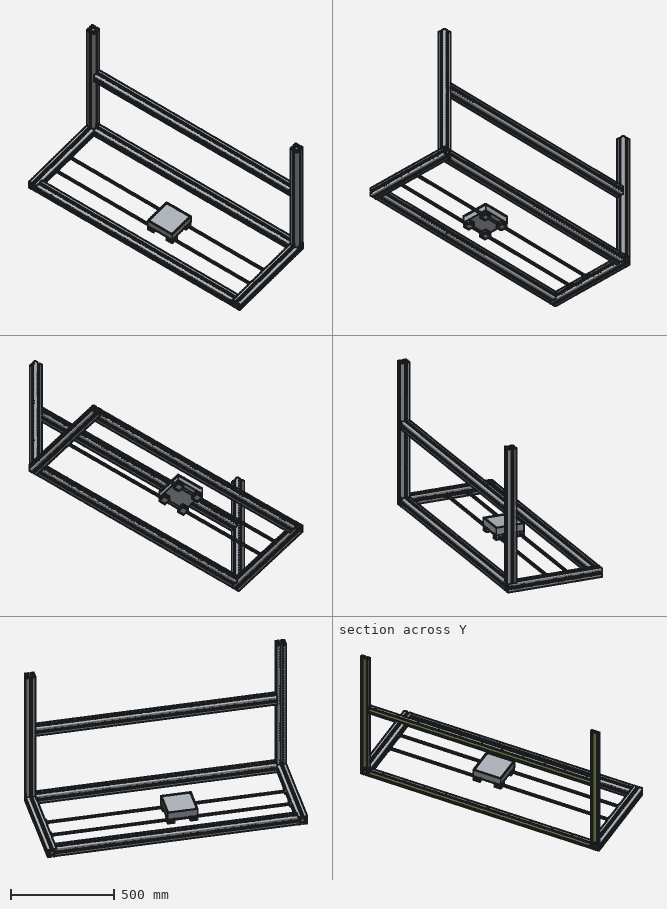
import cadquery as cq
import math

FRAME_LENGTH = 1290.0
FRAME_DEPTH = 500.0
FRAME_HEIGHT = 745.0
TOP_RAIL_CENTER_Z = 422.0

PROFILE_SIZE = 45.0
PROFILE_CORNER_DIAMETER = 5.0
SLOT_WIDTH = 10.0
LIP_THICKNESS = 6.0
CORE_WIDTH = 19.0
CAVITY_WIDTH = 19.0
CAVITY_FLOOR_WIDTH = 13.0
CAVITY_BEVEL_HEIGHT = 3.0

ROD_DIAMETER = 10.0
ROD_SPACING = 110.0
ROD_PAIR_CENTER_Y = 205.0
FLANGE_WIDTH = 43.0
FLANGE_THICKNESS = 10.0
FLANGE_HUB_RADIUS = 8.0
FLANGE_SLOPE = math.radians(14.3)

CARRIAGE_CENTER_X = 55.0
CARRIAGE_TOP_Z = 77.0
PLATE_SIZE = 150.0
PLATE_THICKNESS = 40.0
RIM_WIDTH = 4.0
RECESS_DEPTH = 3.0
RECESS_CORNER_RADIUS = 10.0
BLOCK_LENGTH = 35.0
BLOCK_WIDTH = 39.0
BLOCK_HEIGHT = 25.0
BLOCK_INSET = 0.6
BLOCK_GROOVE_DEPTH = 3.0
BLOCK_GROOVE_HEIGHT = 12.0
BLOCK_FOOT_HEIGHT = 4.0

INNER_LENGTH = FRAME_LENGTH - 2 * PROFILE_SIZE
SIDE_X = (FRAME_LENGTH - PROFILE_SIZE) / 2
FRONT_Y = PROFILE_SIZE / 2
REAR_Y = FRAME_DEPTH - PROFILE_SIZE / 2
BASE_Z = PROFILE_SIZE / 2
ROD_YS = [ROD_PAIR_CENTER_Y - ROD_SPACING / 2, ROD_PAIR_CENTER_Y + ROD_SPACING / 2]
PLATE_BOTTOM_Z = CARRIAGE_TOP_Z - PLATE_THICKNESS


def mirrored(right_points):
    """A closed outline's points: the given right half followed by its mirror image."""
    return right_points + [(-x, y) for x, y in reversed(right_points)]


def slot_cutter(length):
    """The T-shaped slot on the +Y side of the profile: a narrow mouth over a wide, bevelled cavity."""
    surface = PROFILE_SIZE / 2
    lip = surface - LIP_THICKNESS
    floor = CORE_WIDTH / 2
    right_half = [
        (SLOT_WIDTH / 2, surface),
        (SLOT_WIDTH / 2, lip),
        (CAVITY_WIDTH / 2, lip),
        (CAVITY_WIDTH / 2, floor + CAVITY_BEVEL_HEIGHT),
        (CAVITY_FLOOR_WIDTH / 2, floor),
    ]
    return cq.Workplane("XY").polyline(mirrored(right_half)).close().extrude(length)


def extrusion(length):
    """A T-slot bar that rises from the XY plane, centred on the Z axis."""
    bar = cq.Workplane("XY").rect(PROFILE_SIZE, PROFILE_SIZE).extrude(length)
    bar = bar.edges("|Z").fillet(PROFILE_CORNER_DIAMETER / 2)
    slot = slot_cutter(length)
    for side in range(4):
        bar = bar.cut(slot.rotate((0, 0, 0), (0, 0, 1), 90 * side))
    return bar


def cross_rail(y, z):
    """A bar along X that fits between the two sides of the frame."""
    bar = extrusion(INNER_LENGTH).rotate((0, 0, 0), (0, 1, 0), 90)
    return bar.translate((-INNER_LENGTH / 2, y, z))


def side_rail(x):
    """A bar along Y over the full depth of the frame."""
    return extrusion(FRAME_DEPTH).rotate((0, 0, 0), (1, 0, 0), -90).translate((x, 0, BASE_Z))


def make_base_frame():
    """The rectangle of four joined rails at the bottom."""
    frame = side_rail(-SIDE_X).union(side_rail(SIDE_X))
    for y in (FRONT_Y, REAR_Y):
        frame = frame.union(cross_rail(y, BASE_Z))
    return frame


def make_post(x):
    """An upright bar that stands on the rear end of a side rail."""
    return extrusion(FRAME_HEIGHT - PROFILE_SIZE).translate((x, REAR_Y, PROFILE_SIZE))


def rod_cylinder(y):
    cylinder = cq.Workplane("YZ").circle(ROD_DIAMETER / 2).extrude(INNER_LENGTH)
    return cylinder.translate((-INNER_LENGTH / 2, y, BASE_Z))


def end_flange(start_x, y):
    """A plate whose sloping sides run tangent to a rounded hub and stop at flat ends."""
    tangent_y = FLANGE_HUB_RADIUS * math.sin(FLANGE_SLOPE)
    tangent_z = FLANGE_HUB_RADIUS * math.cos(FLANGE_SLOPE)
    end_y = FLANGE_WIDTH / 2
    end_z = tangent_z - (end_y - tangent_y) * math.tan(FLANGE_SLOPE)
    plate = (
        cq.Workplane("YZ")
        .moveTo(-end_y, -end_z)
        .lineTo(-end_y, end_z)
        .lineTo(-tangent_y, tangent_z)
        .threePointArc((0, FLANGE_HUB_RADIUS), (tangent_y, tangent_z))
        .lineTo(end_y, end_z)
        .lineTo(end_y, -end_z)
        .lineTo(tangent_y, -tangent_z)
        .threePointArc((0, -FLANGE_HUB_RADIUS), (-tangent_y, -tangent_z))
        .close()
        .extrude(FLANGE_THICKNESS)
    )
    return plate.translate((start_x, y, BASE_Z))


def make_guide_rod(y):
    """A rod between the side rails with a flange at each end."""
    rod = rod_cylinder(y)
    for start_x in (-INNER_LENGTH / 2, INNER_LENGTH / 2 - FLANGE_THICKNESS):
        rod = rod.union(end_flange(start_x, y))
    return rod


def carriage_plate():
    plate = cq.Workplane("XY").rect(PLATE_SIZE, PLATE_SIZE).extrude(PLATE_THICKNESS)
    recess_size = PLATE_SIZE - 2 * RIM_WIDTH
    recess = cq.Workplane("XY").rect(recess_size, recess_size).extrude(RECESS_DEPTH)
    recess = recess.edges("|Z").fillet(RECESS_CORNER_RADIUS)
    plate = plate.cut(recess.translate((0, 0, PLATE_THICKNESS - RECESS_DEPTH)))
    return plate.translate((CARRIAGE_CENTER_X, ROD_PAIR_CENTER_Y, PLATE_BOTTOM_Z))


def bearing_block(x, y):
    """A block under the plate with a groove along each of its two long sides."""
    outer = BLOCK_WIDTH / 2
    inner = outer - BLOCK_GROOVE_DEPTH
    groove_top = BLOCK_FOOT_HEIGHT + BLOCK_GROOVE_HEIGHT
    right_half = [
        (outer, BLOCK_HEIGHT),
        (outer, groove_top),
        (inner, groove_top),
        (inner, BLOCK_FOOT_HEIGHT),
        (outer, BLOCK_FOOT_HEIGHT),
        (outer, 0),
    ]
    block = cq.Workplane("YZ").polyline(mirrored(right_half)).close()
    block = block.extrude(BLOCK_LENGTH / 2, both=True)
    return block.translate((x, y, PLATE_BOTTOM_Z - BLOCK_HEIGHT))


def make_carriage():
    """The plate joined to its blocks, bored through for the rods."""
    carriage = carriage_plate()
    block_offset_x = (PLATE_SIZE - BLOCK_LENGTH) / 2 - BLOCK_INSET
    for y in ROD_YS:
        for offset_x in (-block_offset_x, block_offset_x):
            carriage = carriage.union(bearing_block(CARRIAGE_CENTER_X + offset_x, y))
        carriage = carriage.cut(rod_cylinder(y))
    return carriage


base_frame = make_base_frame()
posts = [make_post(x) for x in (-SIDE_X, SIDE_X)]
top_rail = cross_rail(REAR_Y, TOP_RAIL_CENTER_Z)
guide_rods = [make_guide_rod(y) for y in ROD_YS]
carriage = make_carriage()

result = cq.Compound.makeCompound(
    [
        base_frame.val(),
        *[post.val() for post in posts],
        top_rail.val(),
        *[rod.val() for rod in guide_rods],
        carriage.val(),
    ]
)